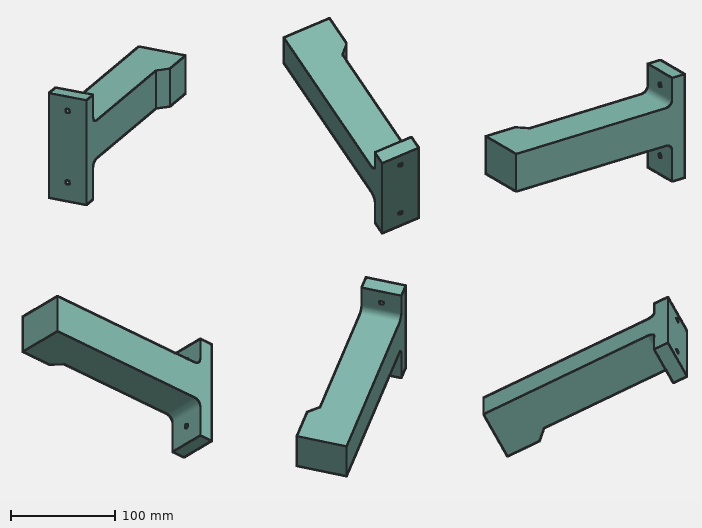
import cadquery as cq

width = 40.0
plate_height = 110.0
plate_thickness = 15.0

length = 200.0
arm_bottom = 40.0
arm_height = 40.0
root_radius = plate_thickness / 2

hook_reach = 10.0
hook_tip_length = 35.0
hook_base_length = 45.0

hole_diameter = 4.5
top_hole_inset = 15.0
bottom_hole_inset = 20.0


def make_plate():
    return cq.Workplane("XY").box(width, plate_thickness, plate_height, centered=False)


def make_arm():
    outline = [
        (0, 0),
        (width, 0),
        (width, length - hook_base_length),
        (width + hook_reach, length - hook_tip_length),
        (width + hook_reach, length),
        (0, length),
    ]
    return (
        cq.Workplane("XY", origin=(0, 0, arm_bottom))
        .polyline(outline)
        .close()
        .extrude(arm_height)
    )


def fillet_root(body):
    """Round the two inside corners where the arm leaves the plate."""
    for z in (arm_bottom, arm_bottom + arm_height):
        corner = cq.selectors.NearestToPointSelector((width / 2, plate_thickness, z))
        body = body.edges("|X").edges(corner).fillet(root_radius)
    return body


def make_screw_hole(z):
    return (
        cq.Workplane("XZ")
        .center(width / 2, z)
        .circle(hole_diameter / 2)
        .extrude(-plate_thickness)
    )


result = fillet_root(make_plate().union(make_arm()))
for hole_z in (bottom_hole_inset, plate_height - top_hole_inset):
    result = result.cut(make_screw_hole(hole_z))